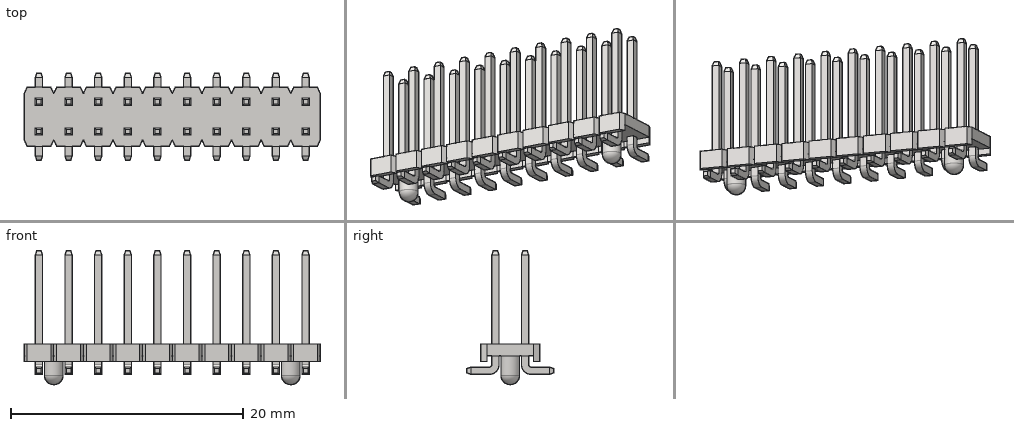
import cadquery as cq


columns = 10
pitch = 2.55
body_length = columns * pitch
body_width = 2 * pitch

body_top = 3.5
body_bottom = 1.98
channel_roof = 2.5
rail_thickness = 0.55
corner_setback = 0.25
notch_half_width = 0.25
notch_depth = rail_thickness - 0.03

pin_size = 0.64
pin_top = 11.5
foot_bottom = 0.9
foot_span = 7.5
bend_inner_radius = 0.2
bend_outer_radius = bend_inner_radius + pin_size
tip_length = 0.38
tip_inset = 0.13

peg_radius = 0.81
peg_offset = body_length / 2 - pitch


def make_body():
    """Block with cut corners, a lengthwise channel below and V notches between pins."""
    half_length = body_length / 2
    half_width = body_width / 2
    end_half_width = half_width - rail_thickness
    side_half_length = half_length - corner_setback
    body = (
        cq.Workplane("XY", origin=(0, 0, body_bottom))
        .polyline([
            (-half_length, -end_half_width),
            (-side_half_length, -half_width),
            (side_half_length, -half_width),
            (half_length, -end_half_width),
            (half_length, end_half_width),
            (side_half_length, half_width),
            (-side_half_length, half_width),
            (-half_length, end_half_width),
        ])
        .close()
        .extrude(body_top - body_bottom)
    )
    channel = cq.Workplane("XY", origin=(0, 0, body_bottom)).box(
        body_length, 2 * end_half_width, channel_roof - body_bottom, centered=(True, True, False)
    )
    body = body.cut(channel)

    for gap in range(1, columns):
        notch_x = gap * pitch - half_length
        for side in (-1, 1):
            notch = (
                cq.Workplane("XY", origin=(notch_x, 0, body_bottom))
                .polyline([
                    (-notch_half_width, side * half_width),
                    (0, side * (half_width - notch_depth)),
                    (notch_half_width, side * half_width),
                ])
                .close()
                .extrude(body_top - body_bottom)
            )
            body = body.cut(notch)
    return body


def make_tip(plane):
    """Tapered pin end that narrows along the normal of the given plane."""
    tip_size = pin_size - 2 * tip_inset
    return (
        cq.Workplane(plane)
        .rect(pin_size, pin_size)
        .workplane(offset=tip_length)
        .rect(tip_size, tip_size)
        .loft(ruled=True)
    )


def make_pin():
    """Pin of the +Y row, centred on X = 0, with its foot bent outward."""
    inner_y = pitch / 2 - pin_size / 2
    outer_y = pitch / 2 + pin_size / 2
    foot_top = foot_bottom + pin_size
    shank_end = pin_top - tip_length
    foot_end = foot_span / 2 - tip_length
    bend_y = outer_y + bend_inner_radius
    bend_z = foot_top + bend_inner_radius
    bar = (
        cq.Workplane("YZ", origin=(-pin_size / 2, 0, 0))
        .moveTo(inner_y, shank_end)
        .lineTo(inner_y, bend_z)
        .radiusArc((bend_y, foot_bottom), -bend_outer_radius)
        .lineTo(foot_end, foot_bottom)
        .lineTo(foot_end, foot_top)
        .lineTo(bend_y, foot_top)
        .radiusArc((outer_y, bend_z), bend_inner_radius)
        .lineTo(outer_y, shank_end)
        .close()
        .extrude(pin_size)
    )
    top_plane = cq.Plane(origin=(0, pitch / 2, shank_end), xDir=(1, 0, 0), normal=(0, 0, 1))
    foot_plane = cq.Plane(
        origin=(0, foot_end, foot_bottom + pin_size / 2), xDir=(1, 0, 0), normal=(0, 1, 0)
    )
    return bar.union(make_tip(top_plane)).union(make_tip(foot_plane))


def make_peg():
    """Round peg with a hemispherical lower end, hanging from the channel roof."""
    peg = cq.Workplane("XY", origin=(0, 0, peg_radius)).circle(peg_radius).extrude(channel_roof - peg_radius)
    return peg.union(cq.Workplane("XY", origin=(0, 0, peg_radius)).sphere(peg_radius))


result = make_body()

back_pin = make_pin()
front_pin = back_pin.mirror("XZ")
for column in range(columns):
    pin_x = (column + 0.5) * pitch - body_length / 2
    for pin in (back_pin, front_pin):
        result = result.union(pin.translate((pin_x, 0, 0)))

peg = make_peg()
for peg_x in (-peg_offset, peg_offset):
    result = result.union(peg.translate((peg_x, 0, 0)))